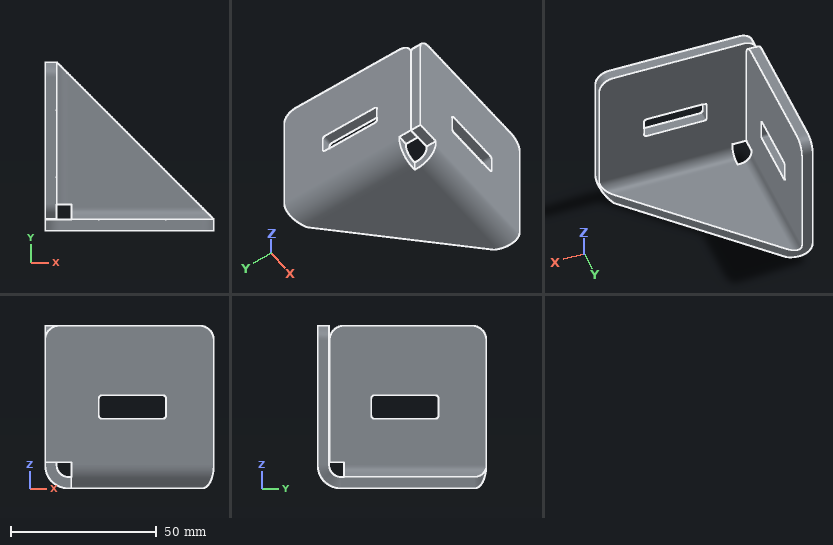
import cadquery as cq
import math

length = 58.0
height = 56.0

thickness = 4.0
bend_gap = 0.1
bend_angle = 90
inner_radius = 4.0
outer_radius = thickness + inner_radius
relief_margin = 1.0
relief = outer_radius + relief_margin

wall_corner_radius = 5.0
slot_width = 23.0
slot_height = 8.0
slot_corner_radius = 1.0
slot_from_corner = 30.0
slot_above_base = height / 2

base_edge_sum = length + thickness
base_edge_far = base_edge_sum - outer_radius

cutter_inner_radius = inner_radius / 2
cutter_outer_radius = outer_radius * 1.5


def make_base():
    """Triangular floor between the two bend lines, notched at the inner corner."""
    return (
        cq.Workplane("XY")
        .moveTo(relief, outer_radius)
        .lineTo(base_edge_far, outer_radius)
        .lineTo(outer_radius, base_edge_far)
        .lineTo(outer_radius, relief)
        .lineTo(relief, relief)
        .close()
        .extrude(thickness)
    )


def make_bend():
    """Quarter-round bend along X, joining the floor to the wall on the Y = 0 side."""
    bend_length = length - relief
    axis = cq.Plane(origin=(relief, outer_radius, outer_radius), xDir=(0, 1, 0), normal=(1, 0, 0))
    tube = cq.Workplane(axis).circle(outer_radius).circle(inner_radius).extrude(bend_length)
    quarter = cq.Workplane("XY").box(length, outer_radius, outer_radius, centered=False)
    return tube.intersect(quarter)


def bend_end_curve(radius):
    """Quarter ellipse of the bend end at one radius: X falls back as the bend turns."""
    setback = length - base_edge_far
    end_plane = cq.Plane(
        origin=(base_edge_far, outer_radius, outer_radius),
        xDir=(setback, -radius, 0),
        normal=(radius, setback, 0),
    )
    half_width = math.hypot(setback, radius)
    return cq.Workplane(end_plane).ellipseArc(half_width, radius, 0, bend_angle, startAtCurrent=False).val()


def make_bend_end_cutter():
    """Solid that trims the bend back from the wall end to the sloping base edge."""
    end_face = cq.Face.makeRuledSurface(
        bend_end_curve(cutter_inner_radius), bend_end_curve(cutter_outer_radius)
    )
    return cq.Workplane(cq.Solid.extrudeLinear(end_face, cq.Vector(length, 0, 0)))


def make_wall(start):
    """Upright wall along X from `start`, with rounded top corners and a slot."""
    wall = (
        cq.Workplane("XY")
        .box(length - start, thickness, height - outer_radius, centered=False)
        .translate((start, 0, outer_radius))
        .edges("|Y and >Z")
        .fillet(wall_corner_radius)
    )
    notch = cq.Workplane("XY").box(relief, thickness, relief, centered=False)
    slot = (
        cq.Workplane("XY")
        .box(slot_width, thickness, slot_height, centered=(True, False, True))
        .edges("|Y")
        .fillet(slot_corner_radius)
        .translate((slot_from_corner, 0, slot_above_base))
    )
    return wall.cut(notch).cut(slot)


def make_flange(start):
    """Wall together with its trimmed bend."""
    return make_wall(start).union(make_bend().cut(make_bend_end_cutter()))


def swap_x_and_y(body):
    """Mirror a body across the vertical plane x = y."""
    return body.mirror(cq.Vector(1, -1, 0))


front_flange = make_flange(0)
side_flange = swap_x_and_y(make_flange(thickness + bend_gap))

result = make_base().union(front_flange).union(side_flange)